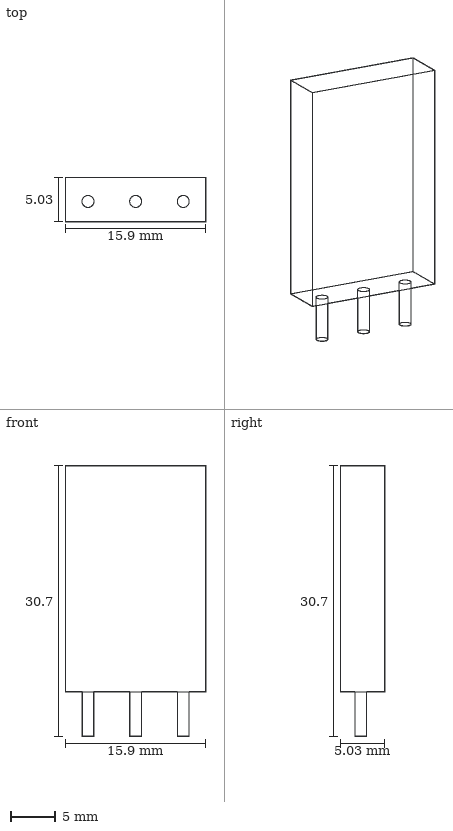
import cadquery as cq

total_height = 30.67
housing_width = 15.92
housing_depth = 5.03
pin_length = 5.05
housing_height = total_height - pin_length

pin_diameter = 1.35
pin_pitch = 5.4
pin_count = 3
pin_row_y = -0.2


def make_housing():
    """Plain rectangular block standing on the plane Z = 0."""
    return cq.Workplane("XY").box(
        housing_width, housing_depth, housing_height, centered=(True, True, False)
    )


def make_pin(x):
    """Round pin hanging from the underside of the housing."""
    return cq.Workplane("XY").center(x, pin_row_y).circle(pin_diameter / 2).extrude(-pin_length)


housing = make_housing()

first_pin_x = -pin_pitch * (pin_count - 1) / 2
pins = []
for index in range(pin_count):
    pins.append(make_pin(first_pin_x + index * pin_pitch))

result = cq.Compound.makeCompound([housing.val(), *[pin.val() for pin in pins]])